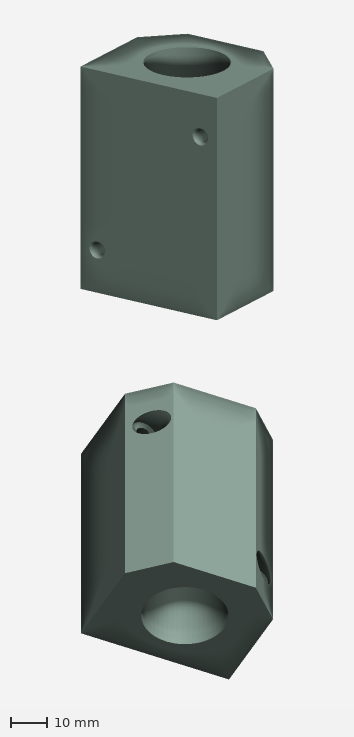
import cadquery as cq

width = 45.0
depth = 38.0
height = 65.0
corner_chamfer = 10.0
bore_diameter = 24.0

hole_diameter = 4.13
hole_mouth_diameter = 5.0
counterbore_diameter = 8.0
counterbore_depth = corner_chamfer
hole_spacing_x = 34.0
hole_spacing_z = 40.0

front_y = -depth / 2
back_y = depth / 2


def make_block():
    block = cq.Workplane("XY").box(width, depth, height)
    return block.edges("|Z and >Y").chamfer(corner_chamfer)


def make_bore():
    return cq.Workplane("XY").circle(bore_diameter / 2).extrude(height, both=True)


def make_screw_hole(x, z):
    """Stepped hole along Y: countersink, through hole and counterbore as one revolved cutter."""
    hole_radius = hole_diameter / 2
    mouth_radius = hole_mouth_diameter / 2
    counterbore_radius = counterbore_diameter / 2
    countersink_end_y = front_y + mouth_radius - hole_radius
    counterbore_floor_y = back_y - counterbore_depth
    cutter = (
        cq.Workplane("XY")
        .moveTo(0, front_y)
        .lineTo(mouth_radius, front_y)
        .lineTo(hole_radius, countersink_end_y)
        .lineTo(hole_radius, counterbore_floor_y)
        .lineTo(counterbore_radius, counterbore_floor_y)
        .lineTo(counterbore_radius, back_y)
        .lineTo(0, back_y)
        .close()
        .revolve(360, (0, 0, 0), (0, 1, 0))
    )
    return cutter.translate((x, 0, z))


result = make_block().cut(make_bore())
for side in (-1, 1):
    result = result.cut(make_screw_hole(side * hole_spacing_x / 2, side * hole_spacing_z / 2))